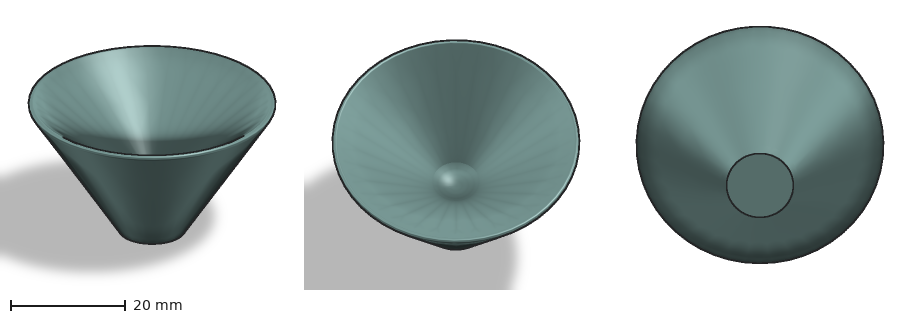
import cadquery as cq
import math

outer_radius = 21.5
height = 25.0

base_radius = 5.8
foot_radius = 6.8
foot_height = 1.55

rim_round = 0.5
rim_center_radius = outer_radius - rim_round
rim_center_height = height - rim_round

bowl_radius = 4.1
bowl_height = 12.45


def rim_point(angle):
    """Point (radius, height) of the rim round, angle measured up from the outward direction."""
    return (
        rim_center_radius + rim_round * math.cos(angle),
        rim_center_height + rim_round * math.sin(angle),
    )


def tangent_angle(radius, level, side):
    """Rim angle where a line from (radius, level) touches the round; side is -1 outside, +1 inside."""
    run = radius - rim_center_radius
    rise = level - rim_center_height
    distance = math.hypot(run, rise)
    return math.atan2(rise, run) - side * math.acos(rim_round / distance)


outer_angle = tangent_angle(foot_radius, foot_height, -1)
inner_angle = tangent_angle(bowl_radius, bowl_height, 1)

bowl_slope = math.atan2(-math.cos(inner_angle), math.sin(inner_angle))
bowl_sphere_radius = bowl_radius / math.sin(bowl_slope)
bowl_sphere_center = bowl_height + bowl_sphere_radius * math.cos(bowl_slope)
bowl_bottom = bowl_sphere_center - bowl_sphere_radius
bowl_arc_middle = (
    bowl_sphere_radius * math.sin(bowl_slope / 2),
    bowl_sphere_center - bowl_sphere_radius * math.cos(bowl_slope / 2),
)

section = (
    cq.Workplane("XZ")
    .lineTo(base_radius, 0)
    .lineTo(foot_radius, foot_height)
    .lineTo(*rim_point(outer_angle))
    .threePointArc(rim_point(math.pi / 4), rim_point(inner_angle))
    .lineTo(bowl_radius, bowl_height)
    .threePointArc(bowl_arc_middle, (0, bowl_bottom))
    .close()
)
result = section.revolve(360, (0, 0, 0), (0, 1, 0))